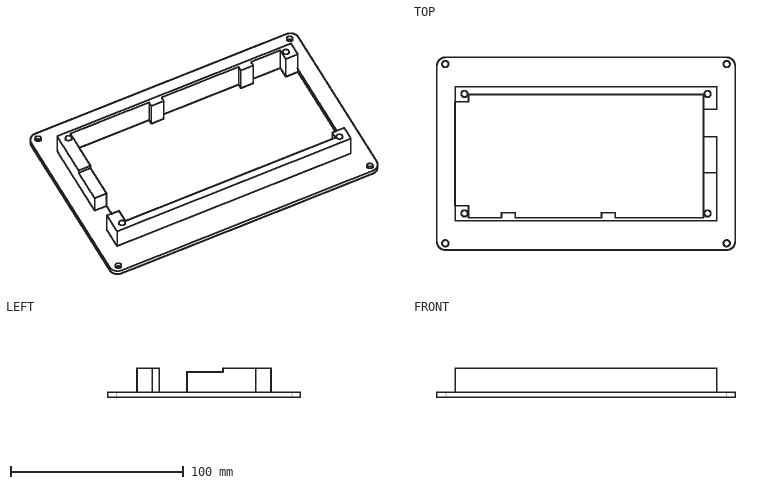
import cadquery as cq

plate_length = 173.1
plate_width = 111.8
plate_thickness = 3.0
corner_radius = 5.2
total_height = 17.0

frame_length = 151.6
frame_width = 77.7
back_wall = 4.7
front_wall = 1.7
end_wall = 7.8

post_width = 8.8
back_post_length = 13.0
low_wall_start = -10.9
low_wall_end = 9.9
low_wall_height = 14.7

tab_length = 8.1
tab_depth = 3.0
tab_centers_x = (-45.0, 13.0)

hole_diameter = 3.6
plate_hole_spacing = (163.0, 103.9)
frame_hole_spacing = (140.9, 69.2)

frame_right = frame_length / 2
frame_left = -frame_right
frame_back = frame_width / 2
frame_front = -frame_back
opening_right = frame_right - end_wall
post_right = frame_left + end_wall
opening_front = frame_front + front_wall


def block(x_min, x_max, y_min, y_max, height):
    """Make a block standing on the XY plane from its limits in X and Y."""
    size = (x_max - x_min, y_max - y_min, height)
    return cq.Workplane("XY").box(*size, centered=False).translate((x_min, y_min, 0))


def make_plate():
    """Rounded plate with an opening that reaches the frame's left edge."""
    plate = cq.Workplane("XY").box(plate_length, plate_width, plate_thickness, centered=(True, True, False))
    plate = plate.edges("|Z").fillet(corner_radius)
    opening = block(frame_left, opening_right, opening_front, frame_back - back_wall, plate_thickness)
    return plate.cut(opening)


def add_walls(body):
    """Add the long walls and the two sections of the right wall."""
    body = body.union(block(frame_left, frame_right, frame_back - back_wall, frame_back, total_height))
    body = body.union(block(frame_left, frame_right, frame_front, opening_front, total_height))
    body = body.union(block(opening_right, frame_right, frame_back - back_post_length, frame_back, total_height))
    body = body.union(block(opening_right, frame_right, frame_front, low_wall_start, total_height))
    return body.union(block(opening_right, frame_right, low_wall_start, low_wall_end, low_wall_height))


def add_posts(body):
    """Add full-height posts at the two left corners."""
    for y_min in (frame_front, frame_back - post_width):
        body = body.union(block(frame_left, post_right, y_min, y_min + post_width, total_height))
    return body


def add_tabs(body):
    """Add the two tabs that project from the front wall into the opening."""
    for x in tab_centers_x:
        tab = block(x - tab_length / 2, x + tab_length / 2, frame_front, opening_front + tab_depth, total_height)
        body = body.union(tab)
    return body


def cut_holes(body):
    """Drill the plate corners and the frame corners right through."""
    for spacing in (plate_hole_spacing, frame_hole_spacing):
        holes = cq.Workplane("XY").rarray(*spacing, 2, 2).circle(hole_diameter / 2).extrude(total_height)
        body = body.cut(holes)
    return body


result = cut_holes(add_tabs(add_posts(add_walls(make_plate()))))